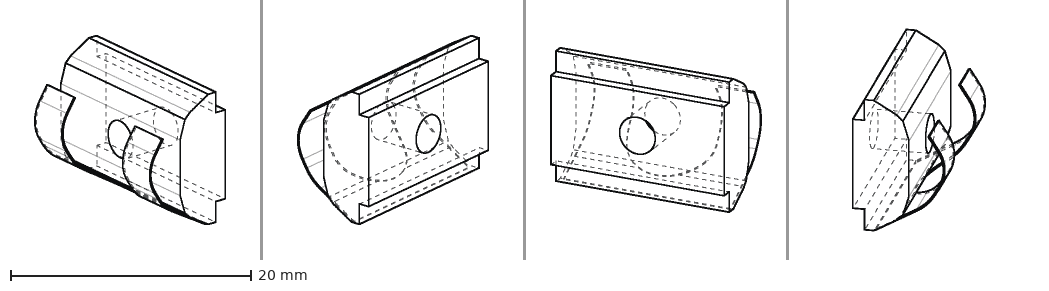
import cadquery as cq
import math

block_length = 16.0
block_depth = 4.8
block_height = 11.7
tongue_depth = 1.0
tongue_height = 8.0
rim_depth = 1.8
slope_angle = 30.0
slope_end_depth = 3.75
shoulder_depth = 4.29
shoulder_height = 8.42
front_face_height = 5.0
hole_diameter = 3.3

spring_width = 15.4
spring_thickness = 0.15
spring_lift = 0.1
spring_reach = 7.8
bow_radius = 3.2
bow_center_height = -0.05
upper_bow_angle = 33.0
lower_bow_angle = 31.0
lower_bend_radius = 4.24
tip_height = 2.93
cutout_width = 8.16
cutout_bottom_height = -4.9

slope = math.radians(slope_angle)
upper_bow = math.radians(upper_bow_angle)
lower_bow = math.radians(lower_bow_angle)
web_angle = math.pi / 2 - lower_bow


def make_block():
    """Extrude the symmetric bar section and drill the cross hole."""
    half_height = block_height / 2
    slope_end_height = half_height - (slope_end_depth - rim_depth) * math.tan(slope)
    upper = [
        (0, tongue_height / 2),
        (-tongue_depth, tongue_height / 2),
        (-tongue_depth, half_height),
        (-rim_depth, half_height),
        (-slope_end_depth, slope_end_height),
        (-shoulder_depth, shoulder_height / 2),
        (-block_depth, front_face_height / 2),
    ]
    lower = [(y, -z) for y, z in reversed(upper)]
    block = cq.Workplane("YZ").polyline(upper + lower).close().extrude(block_length / 2, both=True)
    hole = cq.Workplane("XZ").circle(hole_diameter / 2).extrude(block_depth)
    return block.cut(hole)


def spring_curve(inset):
    """Points (Y, Z) along the strip from its foot to its tip, inset from the outer face."""
    radius = bow_radius - inset
    bow_depth = spring_reach - bow_radius

    def on_bow(angle):
        return bow_depth + radius * math.cos(angle), bow_center_height + radius * math.sin(angle)

    bow_start = on_bow(-lower_bow)
    bow_end = on_bow(upper_bow)

    lift = spring_lift - inset
    foot = (rim_depth + lift * math.sin(slope), -block_height / 2 - lift * math.cos(slope))

    web_tan = math.tan(web_angle)
    slope_tan = math.tan(slope)
    rise = foot[1] - bow_start[1] + (bow_start[0] - foot[0]) * web_tan
    corner_depth = foot[0] + rise / (web_tan - slope_tan)
    corner = (corner_depth, foot[1] + (corner_depth - foot[0]) * slope_tan)

    bend_radius = lower_bend_radius - inset
    half_turn = (web_angle - slope) / 2
    tangent = bend_radius * math.tan(half_turn)
    bend_start = (corner[0] - tangent * math.cos(slope), corner[1] - tangent * math.sin(slope))
    bend_end = (corner[0] + tangent * math.cos(web_angle), corner[1] + tangent * math.sin(web_angle))
    middle = (slope + web_angle) / 2
    sagitta = bend_radius / math.cos(half_turn) - bend_radius
    bend_middle = (corner[0] - sagitta * math.sin(middle), corner[1] + sagitta * math.cos(middle))

    leg = (tip_height - bow_center_height - bow_radius * math.sin(upper_bow)) / math.cos(upper_bow)
    tip = (bow_end[0] - leg * math.sin(upper_bow), bow_end[1] + leg * math.cos(upper_bow))
    points = [foot, bend_start, bend_middle, bend_end, bow_start, on_bow(0), bow_end, tip]
    return [(-depth, z) for depth, z in points]


def make_spring_cutout():
    """Round-ended slot cut square to the foot of the strip, open toward the tip."""
    foot_y, foot_z = spring_curve(0)[0]
    bottom_y = foot_y - (cutout_bottom_height - foot_z) / math.tan(slope)
    plane = cq.Plane(
        origin=(0, bottom_y, cutout_bottom_height),
        xDir=(1, 0, 0),
        normal=(0, math.sin(slope), math.cos(slope)),
    )
    radius = cutout_width / 2
    return (
        cq.Workplane(plane)
        .moveTo(-radius, -radius)
        .threePointArc((0, 0), (radius, -radius))
        .lineTo(radius, -block_length)
        .lineTo(-radius, -block_length)
        .close()
        .extrude(block_length, both=True)
    )


def make_spring():
    """Extrude the bent strip and cut it into two arms joined at the foot."""
    outer = spring_curve(0)
    inner = spring_curve(spring_thickness)
    inner.reverse()
    strip = (
        cq.Workplane("YZ")
        .moveTo(*outer[0])
        .lineTo(*outer[1])
        .threePointArc(outer[2], outer[3])
        .lineTo(*outer[4])
        .threePointArc(outer[5], outer[6])
        .lineTo(*outer[7])
        .lineTo(*inner[0])
        .lineTo(*inner[1])
        .threePointArc(inner[2], inner[3])
        .lineTo(*inner[4])
        .threePointArc(inner[5], inner[6])
        .lineTo(*inner[7])
        .close()
        .extrude(spring_width / 2, both=True)
    )
    return strip.cut(make_spring_cutout())


result = make_block().union(make_spring())